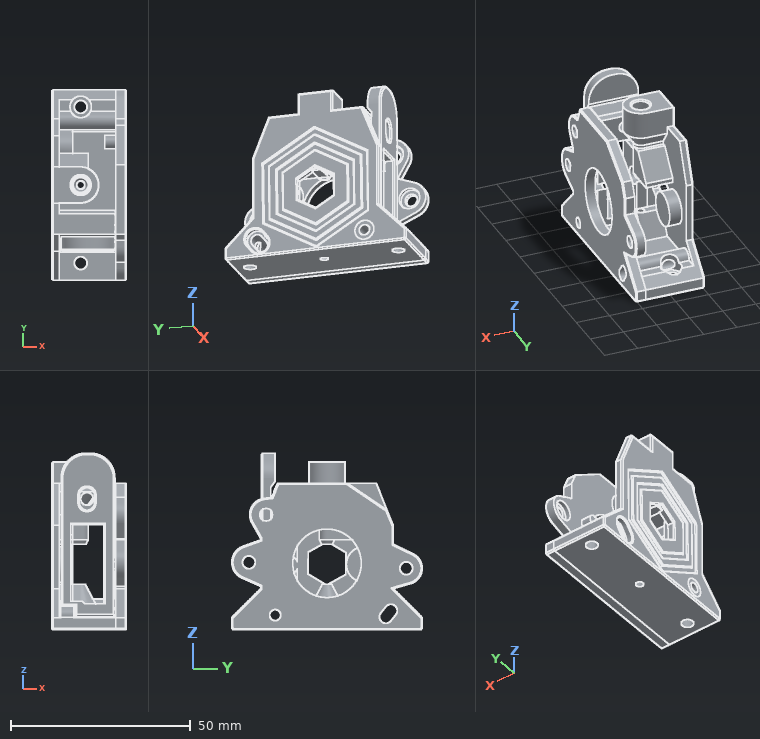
import cadquery as cq
import math


TOTAL_X = 20.85
HALF_LENGTH = 26.5
PLATE_THICKNESS = 2.2
HOUSING_END = 17.8
EDGE_CHAMFER = 0.4
OVERCUT = 0.55

FOOT_HEIGHT = 3.45
SIDE_HALF = 18.45
SIDE_BOTTOM = 11.5
SIDE_TOP = 29.1
SHOULDER_HALF = 13.75
SHOULDER_HEIGHT = 40.9

FILAMENT_X = 8.1
FILAMENT_BORE = 2.2
POST_TOP = 46.75
POST_RADIUS = 5.05
POST_BOTTOM = 38.85
NECK_RADIUS = 2.1
NECK_TOP = 34.9
NECK_BOTTOM = 23.85
NECK_CHAMFER = 1.25
FITTING_BORE = 5.05
FITTING_MOUTH = 5.85
FITTING_DEPTH = 6.9
FITTING_SEAT = 4.2
LOWER_GUIDE_TOP = 12.8
LOWER_GUIDE_TIP_RADIUS = 1.25
LOWER_GUIDE_BASE_RADIUS = 4.95
WEB_END_Y = 8.8
WEB_END_TOP = 26.5
WEB_START_Y = 3.2
WEB_TOP = 33.95

HEX_Z = 18.55
HEX_TILT = 0.8
HEX_RADIUS = 6.05
GROOVE_RINGS = [(17.85, 15.75), (13.25, 11.15)]
GROOVE_DEPTH = 0.3

FLOOR_HEIGHT = 5.85
FRONT_FLOOR_HEIGHT = 3.5
REAR_LEDGE_HEIGHT = 6.25
REAR_WALL_Y = 14.85
BASE_HOLE = 3.5
BASE_HOLE_Y = 21.75
SPOT_FACE = 6.0
SLOT_Y = 17.1
SLOT_Z = 4.5
SLOT_WIDTH = 3.5
SLOT_TRAVEL = 2.25
SLOT_ANGLE = 51.0
SLOT_POCKET_WIDTH = 5.55
SLOT_POCKET_DEPTH = 2.1
SLOT_MOUTH_WIDTH = 6.2
SLOT_MOUTH_DEPTH = (SLOT_MOUTH_WIDTH - SLOT_POCKET_WIDTH) / 2
RIDGE_DIAMETER = 5.2
RIDGE_Y = 18.0
RIDGE_Z = 6.05
GEAR_BOSS_RADIUS = 5.0
GEAR_BOSS_Y = 10.4
GEAR_BOSS_Z = 18.25
GEAR_BOSS_END = 5.9

BLOCK_END = 17.65
BLOCK_BACK_Y = -7.0
BLOCK_CHAMFER = 1.0
BLOCK_BOTTOM = 32.1
BLOCK_FACE_TOP = 38.5
TENSION_X = 9.85
TENSION_Z = 36.5
TENSION_HOLE = 3.5

HINGE_Y = -14.4
HINGE_Z = 4.15
HINGE_BORE = 3.0
BUSHING_DIAMETER = 5.0
BUSHING_HEAD = 5.55
BUSHING_END = 6.2
HINGE_BOSS_DIAMETER = 8.0
HINGE_BOSS_END = 2.55
POCKET_FRONT_Y = -18.75
POCKET_LEAD_Y = -17.7
POCKET_BACK_Y = -7.15
POCKET_BOTTOM = 3.15
POCKET_DIAMETER = 6.9

ARM_START = 2.65
ARM_END = 17.65
ARM_TOP = 49.25
ARM_CORNER = 7.0
ARM_FRONT_Y = -18.3
ARM_HEAD_BACK_Y = -14.4
ARM_BACK_Y = -15.6
ARM_HEAD_BOTTOM = 41.35
ARM_THROAT_Z = 39.75
ARM_BOTTOM = 3.45
ARM_TOE_Z = 4.0
KNUCKLE_RADIUS = 3.26
FOOT_BACK_Y = -8.2
CHEEK_TOP = 26.5
AXLE_HOLE = 5.15
AXLE_Y = -10.6
AXLE_Z = 18.05
NOTCH_END = 6.6
NOTCH_TOP = 6.8
WINDOW_START = 5.85
WINDOW_END = 14.6
WINDOW_TOP = 29.25
WINDOW_BOTTOM = 7.25
WINDOW_STEP_X = 8.6
WINDOW_STEP = 0.7
ARM_SLOT_WIDTH = 4.2
ARM_SLOT_TRAVEL = 2.05

MOTOR_BORE = 19.1
MOTOR_Z = 18.55
LUG_DIAMETER = 3.75
LUG_Y = 12.0
LUG_START = 14.8
CORNER_CUT_INNER_Y = 5.6
CORNER_CUT_OUTER = (16.65, 33.4)
EAR_HOLE = 3.5
EAR_COUNTERBORE = 6.0
EAR_COUNTERBORE_DEPTH = 1.6
REAR_EAR = ((22.05, 17.2), 4.45)
UPPER_EAR = ((-16.9, 32.1), 4.6)
FRONT_EAR = ((-21.75, 18.8), 4.75)
REAR_EAR_TOP = 23.85
FRONT_EAR_BOTTOM = 12.15
UPPER_EAR_START = (-15.3, 36.9)
EAR_VALLEY = 25.45
EAR_VALLEY_FLAT = 0.35
MOTOR_PLATE_CHAMFER = 0.3


def profile(points, start, end):
    """Prism along X of an outline given as (y, z) points."""
    return cq.Workplane("YZ").workplane(offset=start).polyline(points).close().extrude(end - start)


def rod(diameter, y, z, start, end):
    """Round rod along X."""
    return cq.Workplane("YZ").workplane(offset=start).center(y, z).circle(diameter / 2).extrude(end - start)


def upright(diameter, x, y, bottom, top):
    """Round rod along Z."""
    return cq.Workplane("XY").workplane(offset=bottom).center(x, y).circle(diameter / 2).extrude(top - bottom)


def slot_along_x(width, start, end, taper=0.0):
    """Slanted adjusting slot as a solid along X."""
    return (
        cq.Workplane("YZ")
        .workplane(offset=start)
        .center(SLOT_Y, SLOT_Z)
        .slot2D(SLOT_TRAVEL + width, width, SLOT_ANGLE)
        .extrude(end - start, taper=taper)
    )


def hexagon(radius, depth, taper=0.0):
    """Hexagonal prism sunk from the outer face of the plate, with a corner upward."""
    return (
        cq.Workplane("YZ")
        .center(0, HEX_Z)
        .transformed(rotate=(0, 0, 90 - HEX_TILT))
        .polygon(6, 2 * radius)
        .extrude(depth, taper=taper)
    )


def tongue(plane_z, radius):
    """Wire of a tongue reaching from inside the plate to a round end on the filament axis."""
    root = PLATE_THICKNESS / 2
    return (
        cq.Workplane("XY")
        .workplane(offset=plane_z)
        .moveTo(root, -radius)
        .lineTo(FILAMENT_X, -radius)
        .threePointArc((FILAMENT_X + radius, 0), (FILAMENT_X, radius))
        .lineTo(root, radius)
        .close()
        .wire()
        .val()
    )


def tongue_solid(bottom, bottom_radius, top, top_radius):
    """Tongue that widens or narrows evenly between two heights."""
    wires = [tongue(bottom, bottom_radius), tongue(top, top_radius)]
    return cq.Workplane(obj=cq.Solid.makeLoft(wires, True))


def tangent_point(point, centre, radius, side):
    """Point where a line from `point` touches a circle; `side` picks one of the two."""
    dy = point[0] - centre[0]
    dz = point[1] - centre[1]
    angle = math.atan2(dz, dy) + side * math.acos(radius / math.hypot(dy, dz))
    return (centre[0] + radius * math.cos(angle), centre[1] + radius * math.sin(angle))


def lower_outline(side):
    """Foot and side points of the outline on one side, from the bottom up."""
    return [
        (side * (HALF_LENGTH - EDGE_CHAMFER), 0),
        (side * HALF_LENGTH, EDGE_CHAMFER),
        (side * HALF_LENGTH, FOOT_HEIGHT),
        (side * SIDE_HALF, SIDE_BOTTOM),
        (side * SIDE_HALF, SIDE_TOP),
    ]


def make_outer_plate():
    right = lower_outline(1) + [(SHOULDER_HALF, SHOULDER_HEIGHT), (POST_RADIUS, SHOULDER_HEIGHT)]
    left = lower_outline(-1) + [(-SHOULDER_HALF, SHOULDER_HEIGHT), (-POST_RADIUS, SHOULDER_HEIGHT)]
    post_top = [(POST_RADIUS, POST_TOP), (-POST_RADIUS, POST_TOP)]
    plate = profile(right + post_top + left[::-1], 0, PLATE_THICKNESS)
    return plate.faces("<X").chamfer(EDGE_CHAMFER)


def cut_hexagons(plate):
    for outer, inner in GROOVE_RINGS:
        island = hexagon(inner - GROOVE_DEPTH, GROOVE_DEPTH, taper=-45)
        plate = plate.cut(hexagon(outer, GROOVE_DEPTH, taper=45).cut(island))
    plate = plate.cut(hexagon(HEX_RADIUS, PLATE_THICKNESS))
    return plate.cut(hexagon(HEX_RADIUS + EDGE_CHAMFER, EDGE_CHAMFER, taper=45))


def make_base():
    ledge_y = HALF_LENGTH - (REAR_LEDGE_HEIGHT - FOOT_HEIGHT)
    outline = [
        (-HALF_LENGTH + EDGE_CHAMFER, 0),
        (HALF_LENGTH - EDGE_CHAMFER, 0),
        (HALF_LENGTH, EDGE_CHAMFER),
        (HALF_LENGTH, FOOT_HEIGHT),
        (ledge_y, REAR_LEDGE_HEIGHT),
        (REAR_WALL_Y, REAR_LEDGE_HEIGHT),
        (REAR_WALL_Y, FLOOR_HEIGHT),
        (POCKET_BACK_Y, FLOOR_HEIGHT),
        (POCKET_BACK_Y, FRONT_FLOOR_HEIGHT),
        (HINGE_Y, FRONT_FLOOR_HEIGHT),
        (HINGE_Y, POCKET_BOTTOM),
        (POCKET_LEAD_Y, POCKET_BOTTOM),
        (POCKET_FRONT_Y, FRONT_FLOOR_HEIGHT),
        (-HALF_LENGTH, FRONT_FLOOR_HEIGHT),
        (-HALF_LENGTH, EDGE_CHAMFER),
    ]
    base = profile(outline, PLATE_THICKNESS, HOUSING_END)
    base = base.cut(rod(POCKET_DIAMETER, HINGE_Y, HINGE_Z, PLATE_THICKNESS, HOUSING_END))
    return base.union(rod(RIDGE_DIAMETER, RIDGE_Y, RIDGE_Z, PLATE_THICKNESS, HOUSING_END))


def make_tension_block():
    outline = [
        (BLOCK_BACK_Y, BLOCK_BOTTOM),
        (BLOCK_BACK_Y, SHOULDER_HEIGHT - BLOCK_CHAMFER),
        (BLOCK_BACK_Y - BLOCK_CHAMFER, SHOULDER_HEIGHT),
        (-SHOULDER_HALF, SHOULDER_HEIGHT),
        (ARM_HEAD_BACK_Y - EDGE_CHAMFER, BLOCK_FACE_TOP),
        (ARM_HEAD_BACK_Y - EDGE_CHAMFER, BLOCK_BOTTOM),
    ]
    block = profile(outline, PLATE_THICKNESS, BLOCK_END)
    bolt = cq.Workplane("XZ").center(TENSION_X, TENSION_Z).circle(TENSION_HOLE / 2).extrude(HALF_LENGTH)
    return block.cut(bolt)


def make_guides():
    post = tongue_solid(POST_BOTTOM, POST_RADIUS, POST_TOP, POST_RADIUS)
    flare = tongue_solid(NECK_TOP, NECK_RADIUS, POST_BOTTOM, POST_RADIUS)
    shoulder_z = NECK_BOTTOM + NECK_CHAMFER
    neck = tongue_solid(shoulder_z, NECK_RADIUS, NECK_TOP, NECK_RADIUS)
    tip = tongue_solid(NECK_BOTTOM, NECK_RADIUS - NECK_CHAMFER / 2, shoulder_z, NECK_RADIUS)
    lower = tongue_solid(FLOOR_HEIGHT, LOWER_GUIDE_BASE_RADIUS, LOWER_GUIDE_TOP, LOWER_GUIDE_TIP_RADIUS)
    web_outline = [
        (0, shoulder_z),
        (0, WEB_TOP),
        (WEB_START_Y, WEB_TOP),
        (WEB_END_Y, WEB_END_TOP),
        (WEB_END_Y, shoulder_z),
    ]
    web = profile(web_outline, PLATE_THICKNESS, FILAMENT_X + NECK_RADIUS)
    guides = post.union(flare).union(neck).union(tip).union(lower).union(web)
    outside = cq.Workplane("XY").box(2 * EDGE_CHAMFER, HALF_LENGTH, 4 * POST_TOP)
    return guides.cut(outside)


def filament_cutter():
    """Through bore with a chamfered socket on top that tapers down to the bore."""
    mouth = (FITTING_MOUTH - FITTING_BORE) / 2
    socket_bottom = POST_TOP - FITTING_DEPTH
    cone = (FITTING_SEAT - FILAMENT_BORE) / 2
    half_section = [
        (0, -OVERCUT),
        (FILAMENT_BORE / 2, -OVERCUT),
        (FILAMENT_BORE / 2, socket_bottom - cone),
        (FITTING_SEAT / 2, socket_bottom),
        (FITTING_BORE / 2, socket_bottom),
        (FITTING_BORE / 2, POST_TOP - mouth),
        (FITTING_MOUTH / 2, POST_TOP),
        (0, POST_TOP),
    ]
    cutter = cq.Workplane("XZ").polyline(half_section).close().revolve(360, (0, 0), (0, 1))
    return cutter.translate((FILAMENT_X, 0, 0))


def make_housing():
    body = cut_hexagons(make_outer_plate()).union(make_base())
    body = body.union(make_tension_block()).union(make_guides())
    body = body.union(rod(2 * GEAR_BOSS_RADIUS, GEAR_BOSS_Y, GEAR_BOSS_Z, PLATE_THICKNESS, GEAR_BOSS_END))
    body = body.union(rod(HINGE_BOSS_DIAMETER, HINGE_Y, HINGE_Z, PLATE_THICKNESS, HINGE_BOSS_END))
    body = body.cut(filament_cutter())
    body = body.cut(slot_along_x(SLOT_WIDTH, 0, HOUSING_END))
    body = body.cut(slot_along_x(SLOT_POCKET_WIDTH, 0, SLOT_POCKET_DEPTH))
    body = body.cut(slot_along_x(SLOT_MOUTH_WIDTH, 0, SLOT_MOUTH_DEPTH, taper=45))
    body = body.cut(rod(BUSHING_HEAD, HINGE_Y, HINGE_Z, 0, HINGE_BOSS_END))
    for side in (1, -1):
        body = body.cut(upright(BASE_HOLE, FILAMENT_X, side * BASE_HOLE_Y, 0, FRONT_FLOOR_HEIGHT))
    return body.cut(upright(SPOT_FACE, FILAMENT_X, BASE_HOLE_Y, FRONT_FLOOR_HEIGHT, HEX_Z))


def make_bushing():
    bushing = rod(BUSHING_HEAD, HINGE_Y, HINGE_Z, 0, HINGE_BOSS_END)
    bushing = bushing.union(rod(BUSHING_DIAMETER, HINGE_Y, HINGE_Z, HINGE_BOSS_END, BUSHING_END))
    return bushing.cut(rod(HINGE_BORE, HINGE_Y, HINGE_Z, 0, BUSHING_END))


def make_arm_body():
    """Lever seen from the side: a head, a thinner stem, and a foot with bearing cheeks behind it."""
    toe_drop = ARM_TOE_Z - ARM_BOTTOM
    side_outline = [
        (ARM_FRONT_Y, ARM_TOP),
        (ARM_FRONT_Y, ARM_TOE_Z),
        (ARM_FRONT_Y + toe_drop, ARM_BOTTOM),
        (HINGE_Y, ARM_BOTTOM),
        (HINGE_Y, HINGE_Z),
        (FOOT_BACK_Y, HINGE_Z),
        (FOOT_BACK_Y, CHEEK_TOP),
        (ARM_BACK_Y, CHEEK_TOP),
        (ARM_BACK_Y, ARM_THROAT_Z),
        (ARM_HEAD_BACK_Y, ARM_HEAD_BOTTOM),
        (ARM_HEAD_BACK_Y, ARM_TOP),
    ]
    arm = profile(side_outline, ARM_START, ARM_END)
    arm = arm.edges("|Y and >Z").fillet(ARM_CORNER)
    arm = arm.faces("<Y").chamfer(EDGE_CHAMFER)
    return arm.union(rod(2 * KNUCKLE_RADIUS, HINGE_Y, HINGE_Z, NOTCH_END, ARM_END))


def arm_front():
    """Sketch plane on the front face of the arm; positive extrusion runs back into the arm."""
    return cq.Workplane(cq.Plane(origin=(0, ARM_FRONT_Y, 0), xDir=(-1, 0, 0), normal=(0, 1, 0)))


def window_section(margin):
    """Window outline, widened by `margin` at the top and both sides; the sill steps up on the left."""
    points = [
        (WINDOW_START - margin, WINDOW_TOP + margin),
        (WINDOW_END + margin, WINDOW_TOP + margin),
        (WINDOW_END + margin, WINDOW_BOTTOM),
        (WINDOW_STEP_X + WINDOW_STEP, WINDOW_BOTTOM),
        (WINDOW_STEP_X, WINDOW_BOTTOM + WINDOW_STEP),
        (WINDOW_START - margin, WINDOW_BOTTOM + WINDOW_STEP),
    ]
    return arm_front().polyline([(-x, z) for x, z in points]).close()


def window_cutter():
    bevel = (
        arm_front()
        .center(-(WINDOW_START + WINDOW_END) / 2, WINDOW_TOP / 2)
        .rect(WINDOW_END - WINDOW_START + 2 * EDGE_CHAMFER, WINDOW_TOP + 2 * EDGE_CHAMFER)
        .extrude(EDGE_CHAMFER, taper=45)
    )
    opening = window_section(0).extrude(FOOT_BACK_Y - ARM_FRONT_Y)
    return opening.union(bevel.intersect(window_section(EDGE_CHAMFER).extrude(EDGE_CHAMFER)))


def notch_cutter():
    """Corner clearance for the bushing, bevelled at the front face."""
    notch = arm_front().rect(2 * NOTCH_END, 2 * NOTCH_TOP).extrude(FOOT_BACK_Y - ARM_FRONT_Y)
    bevel = arm_front().rect(2 * (NOTCH_END + EDGE_CHAMFER), 2 * (NOTCH_TOP + EDGE_CHAMFER))
    return notch.union(bevel.extrude(EDGE_CHAMFER, taper=45))


def tension_slot(width, depth, taper=0.0):
    """Upright slot for the tension bolt, running back from the front face of the arm."""
    return (
        arm_front()
        .center(-TENSION_X, TENSION_Z)
        .slot2D(ARM_SLOT_TRAVEL + width, width, 90)
        .extrude(depth, taper=taper)
    )


def make_arm():
    arm = make_arm_body().cut(window_cutter()).cut(notch_cutter())
    arm = arm.cut(tension_slot(ARM_SLOT_WIDTH, ARM_HEAD_BACK_Y - ARM_FRONT_Y))
    arm = arm.cut(tension_slot(ARM_SLOT_WIDTH + 2 * EDGE_CHAMFER, EDGE_CHAMFER, taper=45))
    arm = arm.cut(rod(AXLE_HOLE, AXLE_Y, AXLE_Z, ARM_START, ARM_END))
    return arm.cut(rod(HINGE_BORE, HINGE_Y, HINGE_Z, ARM_START, ARM_END))


def add_ear(outline, start, ear, end):
    """Continue an outline, running anticlockwise, from `start` round an ear and back to `end`."""
    centre, radius = ear
    touch = tangent_point(start, centre, radius, 1)
    leave = tangent_point(end, centre, radius, -1)
    middle = math.atan2(touch[1] + leave[1] - 2 * centre[1], touch[0] + leave[0] - 2 * centre[0])
    crown = (centre[0] + radius * math.cos(middle), centre[1] + radius * math.sin(middle))
    return outline.lineTo(*start).lineTo(*touch).threePointArc(crown, leave).lineTo(*end)


def motor_plate_outline():
    outline = cq.Workplane("YZ").workplane(offset=HOUSING_END).moveTo(-HALF_LENGTH, EDGE_CHAMFER)
    outline = outline.lineTo(-HALF_LENGTH + EDGE_CHAMFER, 0)
    for point in lower_outline(1)[:3]:
        outline = outline.lineTo(*point)
    outline = add_ear(outline, (SIDE_HALF, SIDE_BOTTOM), REAR_EAR, (SIDE_HALF, REAR_EAR_TOP))
    for point in [(SIDE_HALF, SIDE_TOP), CORNER_CUT_OUTER, (CORNER_CUT_INNER_Y, SHOULDER_HEIGHT)]:
        outline = outline.lineTo(*point)
    outline = outline.lineTo(-SHOULDER_HALF, SHOULDER_HEIGHT)
    outline = add_ear(outline, UPPER_EAR_START, UPPER_EAR, (-SIDE_HALF, EAR_VALLEY))
    valley_end = (-SIDE_HALF, EAR_VALLEY - EAR_VALLEY_FLAT)
    outline = add_ear(outline, valley_end, FRONT_EAR, (-SIDE_HALF, FRONT_EAR_BOTTOM))
    return outline.lineTo(-SIDE_HALF, SIDE_BOTTOM).lineTo(-HALF_LENGTH, FOOT_HEIGHT).close()


def make_motor_plate():
    plate = motor_plate_outline().extrude(TOTAL_X - HOUSING_END)
    plate = plate.faces(">X").chamfer(MOTOR_PLATE_CHAMFER)
    for centre, _ in (REAR_EAR, UPPER_EAR, FRONT_EAR):
        plate = plate.cut(rod(EAR_HOLE, *centre, HOUSING_END, TOTAL_X))
        plate = plate.cut(rod(EAR_COUNTERBORE, *centre, HOUSING_END, HOUSING_END + EAR_COUNTERBORE_DEPTH))
    plate = plate.cut(rod(MOTOR_BORE, 0, MOTOR_Z, HOUSING_END, TOTAL_X))
    plate = plate.union(rod(LUG_DIAMETER, LUG_Y, GEAR_BOSS_Z, LUG_START, TOTAL_X - MOTOR_PLATE_CHAMFER))
    plate = plate.cut(rod(HINGE_BORE, HINGE_Y, HINGE_Z, HOUSING_END, TOTAL_X))
    return plate.cut(slot_along_x(SLOT_WIDTH, HOUSING_END, TOTAL_X))


housing = make_housing()
bushing = make_bushing()
arm = make_arm()
motor_plate = make_motor_plate()

result = cq.Compound.makeCompound([housing.val(), bushing.val(), arm.val(), motor_plate.val()])